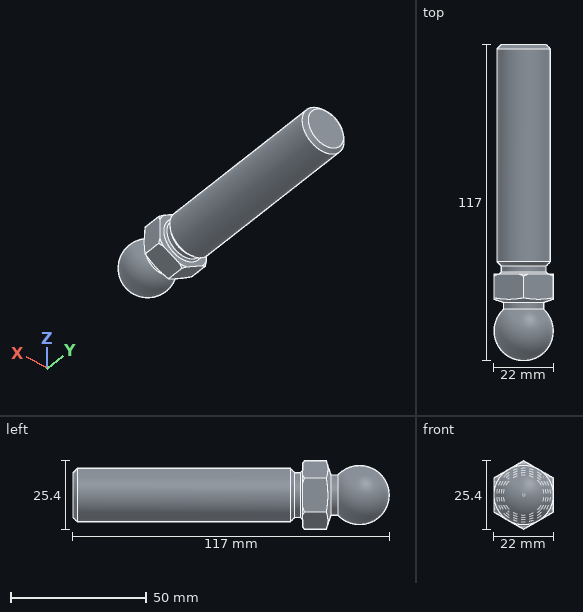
import cadquery as cq
import math

total_length = 117.0
ball_radius = 11.0
tip_flat_radius = 0.5
neck_radius = 7.5
shaft_radius = 10.0
shaft_end_chamfer = 1.6
groove_radius = 8.3

hex_across_flats = 2 * ball_radius
hex_corner_radius = hex_across_flats / math.sqrt(3)
hex_front = 21.5
hex_back = 32.1
hex_front_cone = 1.8
hex_back_radius = 11.8
hex_back_chamfer = 0.7

collar_length = 0.8
groove_length = 2.1

ball_center = math.sqrt(ball_radius**2 - tip_flat_radius**2)
ball_end = ball_center + math.sqrt(ball_radius**2 - neck_radius**2)
groove_start = hex_back + collar_length
groove_end = groove_start + groove_length
shaft_start = groove_end + shaft_radius - groove_radius


def revolve_about_y(profile):
    """Turn a closed half profile, drawn as radius against Y, around the Y axis."""
    return profile.close().revolve(360, (0, 0, 0), (0, 1, 0))


def make_turned_body():
    """Ball, neck, 45 degree collar, relief groove and shaft."""
    return revolve_about_y(
        cq.Workplane("XY")
        .lineTo(tip_flat_radius, 0)
        .threePointArc((ball_radius, ball_center), (neck_radius, ball_end))
        .lineTo(neck_radius, hex_back)
        .lineTo(groove_radius + collar_length, hex_back)
        .lineTo(groove_radius, groove_start)
        .lineTo(groove_radius, groove_end)
        .lineTo(shaft_radius, shaft_start)
        .lineTo(shaft_radius, total_length - shaft_end_chamfer)
        .lineTo(shaft_radius - shaft_end_chamfer, total_length)
        .lineTo(0, total_length)
    )


def make_hex():
    """Hexagon with corners at +Z and -Z, trimmed by a cone at each end."""
    prism = (
        cq.Workplane("XZ", origin=(0, hex_front, 0))
        .transformed(rotate=(0, 0, 90))
        .polygon(6, 2 * hex_corner_radius)
        .extrude(hex_front - hex_back)
    )
    envelope = revolve_about_y(
        cq.Workplane("XY")
        .moveTo(0, hex_front)
        .lineTo(neck_radius, hex_front)
        .lineTo(hex_corner_radius, hex_front + hex_front_cone)
        .lineTo(hex_corner_radius, hex_back - hex_back_chamfer)
        .lineTo(hex_back_radius, hex_back)
        .lineTo(0, hex_back)
    )
    return prism.intersect(envelope)


result = make_turned_body().union(make_hex())